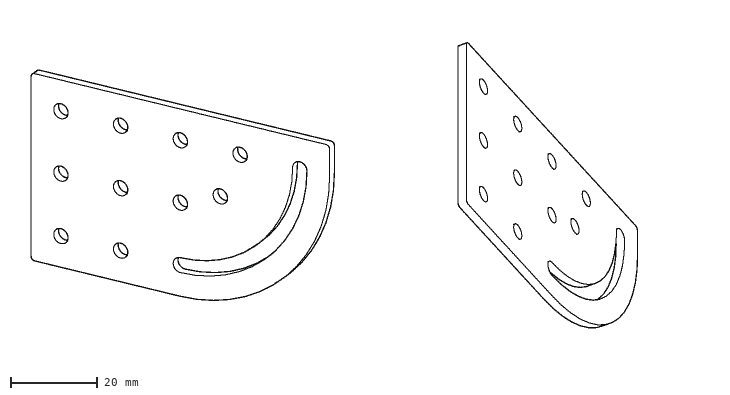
import cadquery as cq
import math

length = 80.0
height = 48.0
thickness = 2.29
corner_radius = 1.0

pitch = 16.0
edge_margin = pitch / 2
hole_diameter = 3.8
holes_per_row = (2, 3, 4)

pivot_x = edge_margin + 2 * pitch
pivot_z = edge_margin + 2 * pitch
outer_radius = length - pivot_x
slot_radius = 2 * pitch
slot_width = hole_diameter

extra_hole_distance = pitch
extra_hole_angle = math.radians(48)
extra_hole_x = pivot_x + extra_hole_distance * math.cos(extra_hole_angle)
extra_hole_z = pivot_z - extra_hole_distance * math.sin(extra_hole_angle)

cut_depth = 3 * thickness
diagonal = math.sqrt(0.5)


def solid_from(sketch, depth, start):
    """Extrude a sketch drawn in (X, Z) along +Y, from Y = start."""
    return sketch.extrude(-depth).translate((0, start, 0))


def make_plate():
    """Plate with one large quarter-round corner and three small rounded corners."""
    outline = (
        cq.Workplane("XZ")
        .lineTo(pivot_x, 0)
        .threePointArc(
            (pivot_x + outer_radius * diagonal, pivot_z - outer_radius * diagonal),
            (length, pivot_z),
        )
        .lineTo(length, height)
        .lineTo(0, height)
        .close()
    )
    plate = solid_from(outline, thickness, 0)
    square_corners = [(0, 0), (0, height), (length, height)]
    for x, z in square_corners:
        corner = cq.selectors.NearestToPointSelector((x, thickness / 2, z))
        plate = plate.edges("|Y").edges(corner).fillet(corner_radius)
    return plate


def make_holes():
    """Cutters for the stepped hole grid and the single extra hole."""
    centres = [
        (edge_margin + column * pitch, edge_margin + row * pitch)
        for row, count in enumerate(holes_per_row)
        for column in range(count)
    ]
    centres.append((extra_hole_x, extra_hole_z))
    circles = cq.Workplane("XZ").pushPoints(centres).circle(hole_diameter / 2)
    return solid_from(circles, cut_depth, -thickness)


def make_slot():
    """Quarter-circle slot with round ends, from straight below the pivot to straight right of it."""
    inner = slot_radius - slot_width / 2
    outer = slot_radius + slot_width / 2
    outline = (
        cq.Workplane("XZ")
        .moveTo(pivot_x, pivot_z - outer)
        .threePointArc(
            (pivot_x + outer * diagonal, pivot_z - outer * diagonal),
            (pivot_x + outer, pivot_z),
        )
        .threePointArc(
            (pivot_x + slot_radius, pivot_z + slot_width / 2),
            (pivot_x + inner, pivot_z),
        )
        .threePointArc(
            (pivot_x + inner * diagonal, pivot_z - inner * diagonal),
            (pivot_x, pivot_z - inner),
        )
        .threePointArc(
            (pivot_x - slot_width / 2, pivot_z - slot_radius),
            (pivot_x, pivot_z - outer),
        )
        .close()
    )
    return solid_from(outline, cut_depth, -thickness)


result = make_plate().cut(make_holes()).cut(make_slot())